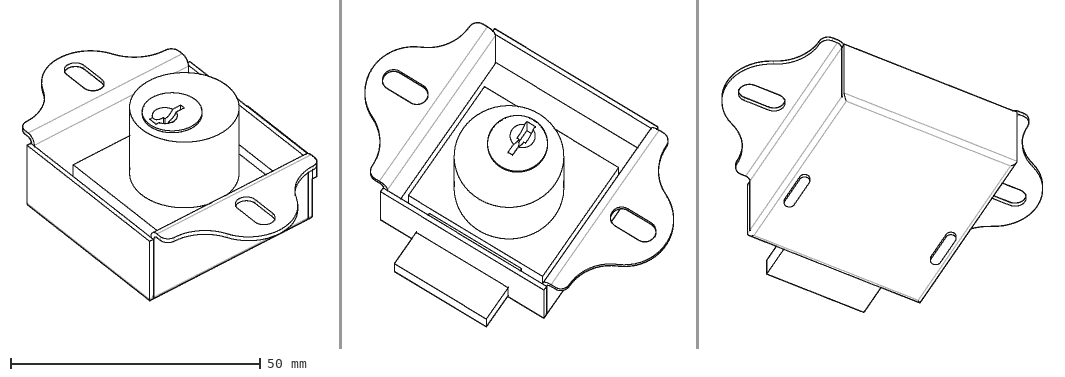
import cadquery as cq
import math

sheet = 1.0
housing_half_x = 19.5
housing_half_y = 21.0
housing_height = 16.0
corner_gap = 0.15
bend_inner_radius = sheet
bend_outer_radius = bend_inner_radius + sheet
lug_top_z = housing_height + bend_outer_radius
side_wall_half_y = housing_half_y - sheet - corner_gap

lug_reach = 35.0
lug_tip_radius = 9.85
lug_corner_radius = 1.95
screw_slot_x = 27.2
screw_slot_length = 10.0
screw_slot_width = 4.5

boss_x = 16.5
boss_y = 5.25
boss_length = 8.7
boss_width = 2.1
boss_height = 0.8

block_half_x = 16.0
block_back_y = 16.1
block_front_y = -11.9
block_top_z = 8.5
barrel_radius = 11.0
barrel_y = 3.8
barrel_top_z = 25.5
plug_radius = 6.0
plug_y = 0.6
plug_top_z = 25.95

key_dimple_radius = 2.5
key_dimple_depth = 1.6
key_dimple_y = -1.25
key_slot_top_y = 3.3
key_slot_step_y = -0.8
key_slot_bottom_y = -4.35
key_slot_narrow_width = 1.1
key_slot_wide_width = 2.0
key_slot_depth = 5.0

bolt_half_x = barrel_radius
bolt_bottom_z = 1.5
bolt_top_z = 5.75
bolt_tip_y = 29.0


def span_box(x_range, y_range, z_range):
    """Box given by its lower and upper limit along each axis."""
    lows, highs = zip(x_range, y_range, z_range)
    size = [high - low for low, high in zip(lows, highs)]
    return cq.Workplane("XY").box(*size, centered=False).translate(lows)


def make_bolt():
    return span_box(
        (-bolt_half_x, bolt_half_x),
        (block_back_y, bolt_tip_y),
        (bolt_bottom_z, bolt_top_z),
    )


def make_tray():
    """Open box with rounded bottom edges and a slit beside each end of the side walls."""
    inner_half_x = housing_half_x - sheet
    inner_half_y = housing_half_y - sheet
    tray = span_box(
        (-housing_half_x, housing_half_x),
        (-housing_half_y, housing_half_y),
        (0, housing_height),
    )
    tray = tray.faces("<Z").edges().fillet(sheet)
    cavity = span_box(
        (-inner_half_x, inner_half_x),
        (-inner_half_y, inner_half_y),
        (sheet, housing_height),
    )
    tray = tray.cut(cavity)
    back_slits = span_box(
        (-housing_half_x, housing_half_x),
        (side_wall_half_y, inner_half_y),
        (sheet, housing_height),
    )
    front_slits = back_slits.mirror("XZ")
    return tray.cut(back_slits).cut(front_slits)


def make_lug_plate():
    """Flat part of the +X lug, from the end of the bend to the rounded tip."""
    root_x = housing_half_x + bend_inner_radius
    tip_centre_x = lug_reach - lug_tip_radius
    flank_centre_y = side_wall_half_y - lug_corner_radius
    centre_distance = 2 * lug_tip_radius
    flank_angle = math.asin(flank_centre_y / centre_distance)
    flank_centre_x = tip_centre_x + centre_distance * math.cos(flank_angle)
    shoulder_x = flank_centre_x - lug_tip_radius
    tangent_x = (tip_centre_x + flank_centre_x) / 2
    tangent_y = flank_centre_y / 2
    flank_mid_x = flank_centre_x - lug_tip_radius * math.cos(flank_angle / 2)
    flank_mid_y = flank_centre_y - lug_tip_radius * math.sin(flank_angle / 2)
    corner_x = shoulder_x - lug_corner_radius
    corner_mid_x = corner_x + lug_corner_radius * math.cos(math.pi / 4)
    corner_mid_y = flank_centre_y + lug_corner_radius * math.sin(math.pi / 4)
    plate = (
        cq.Workplane("XY", origin=(0, 0, lug_top_z - sheet))
        .moveTo(root_x, -side_wall_half_y)
        .lineTo(corner_x, -side_wall_half_y)
        .threePointArc((corner_mid_x, -corner_mid_y), (shoulder_x, -flank_centre_y))
        .threePointArc((flank_mid_x, -flank_mid_y), (tangent_x, -tangent_y))
        .threePointArc((lug_reach, 0), (tangent_x, tangent_y))
        .threePointArc((flank_mid_x, flank_mid_y), (shoulder_x, flank_centre_y))
        .threePointArc((corner_mid_x, corner_mid_y), (corner_x, side_wall_half_y))
        .lineTo(root_x, side_wall_half_y)
        .close()
        .extrude(sheet)
    )
    screw_slot = (
        cq.Workplane("XY", origin=(screw_slot_x, 0, lug_top_z - sheet))
        .slot2D(screw_slot_length, screw_slot_width)
        .extrude(sheet)
    )
    return plate.cut(screw_slot)


def make_lug_bend():
    """Quarter-round bend joining the top of the +X side wall to its lug."""
    centre_x = housing_half_x + bend_inner_radius
    diagonal = math.cos(math.pi / 4)
    inner_mid = (centre_x - bend_inner_radius * diagonal, housing_height + bend_inner_radius * diagonal)
    outer_mid = (centre_x - bend_outer_radius * diagonal, housing_height + bend_outer_radius * diagonal)
    return (
        cq.Workplane("XZ")
        .moveTo(housing_half_x - sheet, housing_height)
        .threePointArc(outer_mid, (centre_x, lug_top_z))
        .lineTo(centre_x, lug_top_z - sheet)
        .threePointArc(inner_mid, (housing_half_x, housing_height))
        .close()
        .extrude(side_wall_half_y, both=True)
    )


def make_floor_bosses():
    return (
        cq.Workplane("XY")
        .pushPoints([(-boss_x, boss_y), (boss_x, boss_y)])
        .slot2D(boss_length, boss_width, angle=90)
        .extrude(-boss_height)
    )


def make_housing(bolt):
    lug = make_lug_bend().union(make_lug_plate())
    housing = make_tray().union(lug).union(lug.mirror("YZ"))
    housing = housing.union(make_floor_bosses())
    return housing.cut(bolt)


def make_keyhole():
    """Spherical dimple with a stepped key slot through it, sunk from the plug face."""
    sphere_radius = (key_dimple_radius**2 + key_dimple_depth**2) / (2 * key_dimple_depth)
    sphere_z = plug_top_z - key_dimple_depth + sphere_radius
    dimple = cq.Workplane("XY").sphere(sphere_radius).translate((0, key_dimple_y, sphere_z))
    slot_z = (plug_top_z - key_slot_depth, plug_top_z)
    narrow_half = key_slot_narrow_width / 2
    wide_half = key_slot_wide_width / 2
    narrow = span_box((-narrow_half, narrow_half), (key_slot_step_y, key_slot_top_y), slot_z)
    wide = span_box((-wide_half, wide_half), (key_slot_bottom_y, key_slot_step_y), slot_z)
    return dimple.union(narrow).union(wide)


def make_lock_body():
    block = span_box(
        (-block_half_x, block_half_x),
        (block_front_y, block_back_y),
        (sheet, block_top_z),
    )
    barrel = (
        cq.Workplane("XY", origin=(0, barrel_y, block_top_z))
        .circle(barrel_radius)
        .extrude(barrel_top_z - block_top_z)
    )
    plug = (
        cq.Workplane("XY", origin=(0, plug_y, barrel_top_z))
        .circle(plug_radius)
        .extrude(plug_top_z - barrel_top_z)
    )
    return block.union(barrel).union(plug).cut(make_keyhole())


bolt = make_bolt()
housing = make_housing(bolt)
lock_body = make_lock_body()

result = cq.Compound.makeCompound([housing.val(), lock_body.val(), bolt.val()])